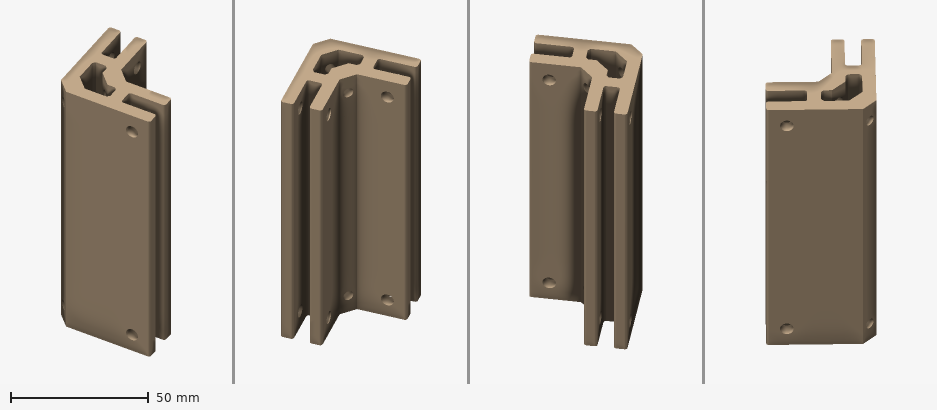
import cadquery as cq
import math

LENGTH = 110.0
LEG = 40.0

WALL = 5.0
SLOT_WIDTH = 6.0
SLOT_DEPTH = 15.0
CORNER_CHAMFER = 5.0
EDGE_RADIUS = 1.0
CAVITY_CHAMFER = 1.0
CAVITY_END = 20.0
ARM_THICKNESS = 2 * WALL + SLOT_WIDTH
SLOT_INNER = WALL + SLOT_WIDTH
SLOT_FLOOR = LEG - SLOT_DEPTH

ARM_HOLE_DIAMETER = 5.0
CORNER_HOLE_DIAMETER = 4.0
HOLE_EDGE_DISTANCE = 7.5
ARM_HOLE_OFFSET = LEG - HOLE_EDGE_DISTANCE
HOLE_HEIGHTS = (HOLE_EDGE_DISTANCE, LENGTH - HOLE_EDGE_DISTANCE)
HOLE_LENGTH = LEG * math.sqrt(2)


def mirrored_prism(half_outline):
    """Extrude an outline given by its half beside the Y arm, mirrored across X = Y."""
    other_half = [(y, x) for x, y in reversed(half_outline)]
    return cq.Workplane("XY").polyline(half_outline + other_half).close().extrude(LENGTH)


def make_angle():
    """L profile with a chamfered heel and a chamfered inside corner."""
    return mirrored_prism([
        (0, CORNER_CHAMFER),
        (0, LEG),
        (ARM_THICKNESS, LEG),
        (ARM_THICKNESS, ARM_THICKNESS + CORNER_CHAMFER),
    ])


def make_slots():
    """Slots entering both arm tips, with rounded floor corners."""
    y_slot = cq.Workplane("XY").box(SLOT_WIDTH, SLOT_DEPTH, LENGTH, centered=False)
    y_slot = y_slot.translate((WALL, SLOT_FLOOR, 0)).edges("|Z and <Y").fillet(EDGE_RADIUS)
    x_slot = cq.Workplane("XY").box(SLOT_DEPTH, SLOT_WIDTH, LENGTH, centered=False)
    x_slot = x_slot.translate((SLOT_FLOOR, WALL, 0)).edges("|Z and <X").fillet(EDGE_RADIUS)
    return y_slot.union(x_slot)


def make_cavity():
    """Bent hollow running the full length inside the corner, with chamfered ends."""
    cavity = mirrored_prism([
        (WALL, WALL + CORNER_CHAMFER),
        (WALL, CAVITY_END),
        (SLOT_INNER, CAVITY_END),
        (SLOT_INNER, SLOT_INNER + CORNER_CHAMFER),
    ])
    return cavity.edges("|Z and (>X or >Y)").chamfer(CAVITY_CHAMFER)


def make_hole(x, y, z, direction, diameter):
    """Cylinder long enough to cross the whole part from the given start point."""
    start = cq.Vector(x, y, z)
    return cq.Solid.makeCylinder(diameter / 2, HOLE_LENGTH, start, cq.Vector(*direction))


result = make_angle().cut(make_slots())
result = result.edges("|Z and (>X or >Y)").fillet(EDGE_RADIUS)
result = result.cut(make_cavity())

for height in HOLE_HEIGHTS:
    result = result.cut(make_hole(ARM_HOLE_OFFSET, 0, height, (0, 1, 0), ARM_HOLE_DIAMETER))
    result = result.cut(make_hole(0, ARM_HOLE_OFFSET, height, (1, 0, 0), ARM_HOLE_DIAMETER))
    result = result.cut(make_hole(0, 0, height, (1, 1, 0), CORNER_HOLE_DIAMETER))